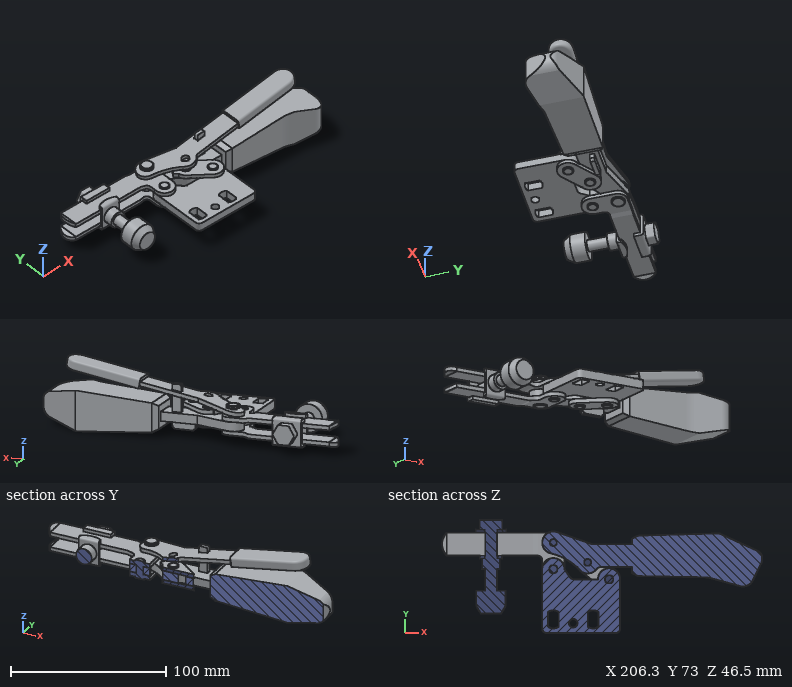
import cadquery as cq
import math


ARM_JOINT = (0, 0)
HANDLE_JOINT = (0, 17.1)
LINK_HANDLE_JOINT = (22.0, 4.3)
LINK_BASE_JOINT = (36.0, -6.6)
EYE_RADIUS = 7.2

PIN_RADIUS = 2.5
PIN_HEAD_RADIUS = 3.5
LARGE_HEAD_RADIUS = 4.5
HEAD_HEIGHT = 0.8
HEAD_CHAMFER = 0.6

BASE_THICKNESS = 6.2
BASE_TOP = BASE_THICKNESS / 2
SHEET = 2.9
SHEET_TOP = BASE_TOP + SHEET

BASE_BOTTOM_Y = -41.3
BASE_CORNER_RADIUS = 3.0
SLOT_SPACING = 25.5
SLOT_Y = -32.5
SLOT_LENGTH = 11.5
SLOT_WIDTH = 6.8
BASE_HOLE_Y = -34.9
BASE_HOLE_RADIUS = 2.7

ARM_TIP_X = -71.8
ARM_TOP_Y = 23.5
ARM_WIDTH = 14.9
ARM_BOTTOM_Y = ARM_TOP_Y - ARM_WIDTH
ARM_NECK_RADIUS = 3.0
JOG_START_X = -10.0
JOG_END_X = -13.0
JOG = 0.8
FLARE_LENGTH = 3.0
FLARE_RISE = 1.5
ARM_INNER_Z = BASE_TOP + JOG
ARM_OUTER_Z = ARM_INNER_Z + SHEET

SPINDLE_X = -40.2
SPINDLE_RADIUS = ARM_INNER_Z
WASHER_WEB_REAR = 2.0
WASHER_WEB_FRONT = 1.9
WASHER_HALF_HEIGHT = 9.3
WASHER_BEND_RADIUS = 1.7
REAR_WASHER_WIDTH = 19.8
REAR_FLANGE_Y = 19.2
FRONT_WASHER_WIDTH = 14.5
FRONT_FLANGE_SIDE_Y = 10.0
FRONT_FLANGE_MIDDLE_Y = 11.8
REAR_WASHER_Y = ARM_TOP_Y + WASHER_WEB_REAR
FRONT_WASHER_Y = ARM_BOTTOM_Y - WASHER_WEB_FRONT

HEX_ACROSS_FLATS = 13.0
HEX_EDGE_RADIUS = 1.2
HEX_HEIGHT = 6.2
COLLAR_RADIUS = 5.8
COLLAR_END_Y = 0.0
CAP_RADIUS = 9.5
CAP_START_Y = -13.8
CAP_CONE_Y = -23.7
CAP_END_Y = -28.7
CAP_END_RADIUS = 6.6

LEVER_TOP_Y = 16.0
LEVER_BOTTOM_Y = 1.2
LEVER_SHOULDER_X = 25.2
LEVER_END_X = 62.0
GRIP_START_X = 50.5
GRIP_CHAMFER_X = 54.5
GRIP_RIDGE_X = 106.0
GRIP_END_X = 134.5
CATCH_LEFT_X = 37.5
CATCH_RIGHT_X = 43.7
CATCH_FOOT_X = 27.7
CATCH_Y = 10.0
CATCH_THICKNESS = 3.0
CATCH_TOP_Z = 21.7
CATCH_BOTTOM_Z = -8.3
CATCH_TOP_RADIUS = 1.0
CATCH_FOOT_CHAMFER = 1.7

LATCH_TILT = 9.9
LATCH_Z = 7.5
LATCH_LOBE = (22.7, LINK_HANDLE_JOINT[1])
LATCH_HOLE_RADIUS = 2.7
LATCH_SLOT_TOP_Y = 13.6
LATCH_GRIP_START = 66.2
LATCH_GRIP_END = 119.5
LATCH_GRIP_WIDTH = 16.0
LATCH_GRIP_THICKNESS = 7.5
LATCH_GRIP_FILLET = 1.9
PIN_HEAD_Z = 11.3
PIN_HEAD_TOP_Z = 13.2


def polar(center, radius, degrees):
    """Point on a circle."""
    angle = math.radians(degrees)
    return (center[0] + radius * math.cos(angle), center[1] + radius * math.sin(angle))


def level(z):
    """Workplane parallel to XY at height z."""
    return cq.Workplane("XY").workplane(offset=z)


def disc(center, radius, bottom, top):
    """Upright cylinder between two heights."""
    return level(bottom).center(*center).circle(radius).extrude(top - bottom)


def pin_head(center, radius, bottom, top, outer_face):
    return disc(center, radius, bottom, top).faces(outer_face).chamfer(HEAD_CHAMFER)


def rivet(center):
    """Pin through both sheets with a low head on either side."""
    head_top = SHEET_TOP + HEAD_HEIGHT
    shank = disc(center, PIN_RADIUS, -SHEET_TOP, SHEET_TOP)
    upper = pin_head(center, PIN_HEAD_RADIUS, SHEET_TOP, head_top, ">Z")
    lower = pin_head(center, PIN_HEAD_RADIUS, -head_top, -SHEET_TOP, "<Z")
    return shank.union(upper).union(lower)


def pin_hole(center):
    """Cutter that matches a pin shank."""
    return disc(center, PIN_RADIUS, -CATCH_TOP_Z, CATCH_TOP_Z)


def lever_plate(lobe_center, end_x, bottom, thickness):
    """Plate with an eye at the handle joint, a rounded lobe and a straight shank."""
    eye_top = polar(HANDLE_JOINT, EYE_RADIUS, 71)
    eye_left = polar(HANDLE_JOINT, EYE_RADIUS, 180)
    eye_bottom = polar(HANDLE_JOINT, EYE_RADIUS, 256)
    belly = (7.6, 6.6)
    lobe_start = polar(lobe_center, EYE_RADIUS, 235)
    lobe_bottom = polar(lobe_center, EYE_RADIUS, 270)

    fillet = 3.5
    drop = lobe_center[1] - LEVER_BOTTOM_Y + fillet
    reach = math.sqrt((EYE_RADIUS + fillet) ** 2 - drop ** 2)
    lobe_end_angle = -math.degrees(math.atan2(drop, reach))
    lobe_end = polar(lobe_center, EYE_RADIUS, lobe_end_angle)
    fillet_center = (lobe_center[0] + reach, LEVER_BOTTOM_Y - fillet)
    fillet_middle = polar(fillet_center, fillet, (90 + lobe_end_angle + 180) / 2)
    fillet_end = (fillet_center[0], LEVER_BOTTOM_Y)

    return (
        level(bottom)
        .moveTo(end_x, LEVER_TOP_Y)
        .lineTo(LEVER_SHOULDER_X, LEVER_TOP_Y)
        .lineTo(*eye_top)
        .threePointArc(eye_left, eye_bottom)
        .threePointArc(belly, lobe_start)
        .threePointArc(lobe_bottom, lobe_end)
        .threePointArc(fillet_middle, fillet_end)
        .lineTo(end_x, LEVER_BOTTOM_Y)
        .close()
        .extrude(thickness)
    )


def make_base():
    left = ARM_JOINT[0] - EYE_RADIUS
    right = LINK_BASE_JOINT[0] + EYE_RADIUS
    recess_floor = LINK_BASE_JOINT[1]
    plate = (
        level(-BASE_TOP)
        .moveTo(left, BASE_BOTTOM_Y)
        .lineTo(left, ARM_JOINT[1])
        .threePointArc(polar(ARM_JOINT, EYE_RADIUS, 90), polar(ARM_JOINT, EYE_RADIUS, 0))
        .lineTo(10.0, -4.0)
        .threePointArc((11.3, -5.8), (13.6, recess_floor))
        .lineTo(LINK_BASE_JOINT[0] - EYE_RADIUS, recess_floor)
        .threePointArc(polar(LINK_BASE_JOINT, EYE_RADIUS, 90), (right, LINK_BASE_JOINT[1]))
        .lineTo(right, BASE_BOTTOM_Y)
        .close()
        .extrude(BASE_THICKNESS)
        .edges("|Z and <Y")
        .fillet(BASE_CORNER_RADIUS)
    )
    for slot_x in (0, SLOT_SPACING):
        slot = disc((slot_x, SLOT_Y), SLOT_LENGTH / 2, -BASE_TOP, BASE_TOP)
        sides = cq.Workplane("XY").center(slot_x, SLOT_Y).box(SLOT_WIDTH, SLOT_LENGTH, BASE_THICKNESS)
        plate = plate.cut(slot.intersect(sides))
    hole = disc((SLOT_SPACING / 2, BASE_HOLE_Y), BASE_HOLE_RADIUS, -BASE_TOP, BASE_TOP)
    return plate.cut(hole).cut(pin_hole(ARM_JOINT)).cut(pin_hole(LINK_BASE_JOINT))


def arm_sheet():
    """Upper arm sheet: side profile trimmed to the plan outline."""
    left = ARM_JOINT[0] - EYE_RADIUS
    right = ARM_JOINT[0] + EYE_RADIUS
    flare_x = ARM_TIP_X + FLARE_LENGTH
    inner = [
        (right, BASE_TOP),
        (JOG_START_X, BASE_TOP),
        (JOG_END_X, ARM_INNER_Z),
        (flare_x, ARM_INNER_Z),
        (ARM_TIP_X, ARM_INNER_Z + FLARE_RISE),
    ]
    outer = [(x, z + SHEET) for x, z in reversed(inner)]
    depth = ARM_TOP_Y - ARM_JOINT[1] + EYE_RADIUS
    strip = cq.Workplane("XZ", origin=(0, ARM_TOP_Y, 0)).polyline(inner + outer).close().extrude(depth)

    top_radius = ARM_TOP_Y - HANDLE_JOINT[1]
    plan = (
        level(0)
        .moveTo(flare_x, ARM_TOP_Y)
        .lineTo(HANDLE_JOINT[0] + EYE_RADIUS - top_radius, ARM_TOP_Y)
        .radiusArc((right, HANDLE_JOINT[1]), top_radius)
        .lineTo(right, ARM_JOINT[1])
        .threePointArc(polar(ARM_JOINT, EYE_RADIUS, 270), (left, ARM_JOINT[1]))
        .lineTo(left, ARM_BOTTOM_Y - ARM_NECK_RADIUS)
        .radiusArc((left - ARM_NECK_RADIUS, ARM_BOTTOM_Y), -ARM_NECK_RADIUS)
        .lineTo(flare_x, ARM_BOTTOM_Y)
        .threePointArc((ARM_TIP_X, ARM_TOP_Y - ARM_WIDTH / 2), (flare_x, ARM_TOP_Y))
        .close()
        .extrude(2 * ARM_OUTER_Z)
    )
    return strip.intersect(plan)


def handle_pin():
    """Long pin through arm, handle and latch."""
    head_bottom = -SHEET_TOP - HEAD_HEIGHT
    shank = disc(HANDLE_JOINT, PIN_RADIUS, -SHEET_TOP, PIN_HEAD_Z)
    upper = pin_head(HANDLE_JOINT, LARGE_HEAD_RADIUS, PIN_HEAD_Z, PIN_HEAD_TOP_Z, ">Z")
    lower = pin_head(HANDLE_JOINT, LARGE_HEAD_RADIUS, head_bottom, -SHEET_TOP, "<Z")
    return shank.union(upper).union(lower)


def make_arm():
    upper = arm_sheet()
    lower = upper.mirror("XY")
    return upper.union(lower).union(rivet(ARM_JOINT)).union(handle_pin())


def link_sheet():
    run = LINK_BASE_JOINT[0] - LINK_HANDLE_JOINT[0]
    rise = LINK_BASE_JOINT[1] - LINK_HANDLE_JOINT[1]
    middle = (LINK_HANDLE_JOINT[0] + run / 2, LINK_HANDLE_JOINT[1] + rise / 2)
    return (
        level(BASE_TOP)
        .center(*middle)
        .transformed(rotate=(0, 0, math.degrees(math.atan2(rise, run))))
        .slot2D(math.hypot(run, rise) + 2 * EYE_RADIUS, 2 * EYE_RADIUS)
        .extrude(SHEET)
    )


def link_nose():
    """Nose on the upper link sheet, under the latch."""
    outline = [polar(LINK_HANDLE_JOINT, EYE_RADIUS, 190), (12.2, 5.2), (15.7, 10.3), LINK_HANDLE_JOINT]
    return level(BASE_TOP).polyline(outline).close().extrude(SHEET)


def make_link():
    upper = link_sheet()
    link = upper.union(upper.mirror("XY")).union(link_nose())
    for joint in (LINK_HANDLE_JOINT, LINK_BASE_JOINT):
        link = link.union(rivet(joint))
    return link


def make_grip():
    """Plan outline trimmed by the side profile."""
    shoulder = (106.9, 23.1)
    heel = (126.0, -12.5)
    waist = (99.7, -5.4)
    tip = (136.8, 9.5)
    corner_radii = ((tip, 5.8), (heel, 7.2), (waist, 21.7))
    plan_points = [
        (GRIP_START_X, 19.6),
        (GRIP_CHAMFER_X, 21.7),
        shoulder,
        tip,
        heel,
        waist,
        (GRIP_CHAMFER_X, -4.5),
        (GRIP_START_X, -2.5),
    ]
    ridge_half_height = 13.6
    plan = level(-ridge_half_height).polyline(plan_points).close().extrude(2 * ridge_half_height)
    for corner, radius in corner_radii:
        plan = plan.edges(cq.selectors.NearestToPointSelector((*corner, 0))).fillet(radius)

    front_half_height = 7.8
    chamfer_half_height = 10.0
    tail_x = 129.0
    tail_half_height = 8.5
    profile = (
        cq.Workplane("XZ", origin=(0, shoulder[1], 0))
        .moveTo(GRIP_START_X, -front_half_height)
        .lineTo(GRIP_START_X, front_half_height)
        .lineTo(GRIP_CHAMFER_X, chamfer_half_height)
        .lineTo(GRIP_RIDGE_X, ridge_half_height)
        .lineTo(tail_x, tail_half_height)
        .threePointArc((GRIP_END_X, 0), (tail_x, -tail_half_height))
        .lineTo(GRIP_RIDGE_X, -ridge_half_height)
        .lineTo(GRIP_CHAMFER_X, -chamfer_half_height)
        .close()
        .extrude(shoulder[1] - heel[1])
    )
    return plan.intersect(profile)


def make_catch():
    """Upright post that holds the latch, with a foot below the lever."""
    outline = [
        (CATCH_LEFT_X, CATCH_TOP_Z),
        (CATCH_RIGHT_X, CATCH_TOP_Z),
        (CATCH_RIGHT_X, CATCH_BOTTOM_Z),
        (CATCH_FOOT_X, CATCH_BOTTOM_Z),
        (CATCH_FOOT_X, -BASE_TOP),
        (CATCH_LEFT_X, -BASE_TOP),
    ]
    catch = (
        cq.Workplane("XZ", origin=(0, CATCH_Y + CATCH_THICKNESS, 0))
        .polyline(outline)
        .close()
        .extrude(CATCH_THICKNESS)
    )
    catch = catch.edges("|Y and >Z").fillet(CATCH_TOP_RADIUS)
    return catch.edges("|Y and <Z").chamfer(CATCH_FOOT_CHAMFER)


def make_handle():
    lever = lever_plate(LINK_HANDLE_JOINT, LEVER_END_X, -BASE_TOP, BASE_THICKNESS)
    lever = lever.cut(pin_hole(HANDLE_JOINT)).cut(pin_hole(LINK_HANDLE_JOINT))
    return lever.union(make_grip()).union(make_catch())


def make_latch():
    plate = lever_plate(LATCH_LOBE, LATCH_GRIP_START, 0, SHEET)
    plate = plate.cut(disc(LATCH_LOBE, LATCH_HOLE_RADIUS, 0, SHEET))

    radius = LATCH_GRIP_WIDTH / 2
    middle_y = (LEVER_TOP_Y + LEVER_BOTTOM_Y) / 2
    straight_end = LATCH_GRIP_END - radius
    grip = (
        level((SHEET - LATCH_GRIP_THICKNESS) / 2)
        .moveTo(LATCH_GRIP_START, middle_y - radius)
        .lineTo(straight_end, middle_y - radius)
        .threePointArc((LATCH_GRIP_END, middle_y), (straight_end, middle_y + radius))
        .lineTo(LATCH_GRIP_START, middle_y + radius)
        .close()
        .extrude(LATCH_GRIP_THICKNESS)
    )
    grip = grip.faces("|Z").edges("not <X").fillet(LATCH_GRIP_FILLET)

    latch = plate.union(grip).rotate((0, 0, 0), (0, 1, 0), -LATCH_TILT).translate((0, 0, LATCH_Z))
    slot = cq.Workplane("XY").box(
        CATCH_RIGHT_X - CATCH_LEFT_X, LATCH_SLOT_TOP_Y - CATCH_Y, CATCH_TOP_Z, centered=False
    )
    slot = slot.translate((CATCH_LEFT_X, CATCH_Y, 0))
    return latch.cut(pin_hole(HANDLE_JOINT)).cut(slot)


def washer_channel(web_outer_y, flange_end_y, web, width):
    """Channel whose web lies on an edge of the arm and whose flanges lap over both sheets."""
    depth = abs(flange_end_y - web_outer_y)
    middle_y = (flange_end_y + web_outer_y) / 2
    bend_side = ">Y" if web_outer_y > flange_end_y else "<Y"
    outer = cq.Workplane("XY").box(width, depth, 2 * WASHER_HALF_HEIGHT)
    outer = outer.edges(f"|X and {bend_side}").fillet(WASHER_BEND_RADIUS)
    inner_shift = math.copysign(web, flange_end_y - web_outer_y)
    inner = cq.Workplane("XY").box(width, depth, 2 * ARM_OUTER_Z).translate((0, inner_shift, 0))
    bore = cq.Workplane("XZ").circle(SPINDLE_RADIUS).extrude(depth, both=True)
    return outer.cut(inner).cut(bore).translate((SPINDLE_X, middle_y, 0))


def make_rear_washer():
    return washer_channel(REAR_WASHER_Y, REAR_FLANGE_Y, WASHER_WEB_REAR, REAR_WASHER_WIDTH)


def make_front_washer():
    """Washer whose flanges end in a shallow arc."""
    channel = washer_channel(
        FRONT_WASHER_Y, FRONT_FLANGE_MIDDLE_Y, WASHER_WEB_FRONT, FRONT_WASHER_WIDTH
    )
    left = SPINDLE_X - FRONT_WASHER_WIDTH / 2
    right = SPINDLE_X + FRONT_WASHER_WIDTH / 2
    plan = (
        level(-WASHER_HALF_HEIGHT)
        .moveTo(left, FRONT_WASHER_Y)
        .lineTo(left, FRONT_FLANGE_SIDE_Y)
        .threePointArc((SPINDLE_X, FRONT_FLANGE_MIDDLE_Y), (right, FRONT_FLANGE_SIDE_Y))
        .lineTo(right, FRONT_WASHER_Y)
        .close()
        .extrude(2 * WASHER_HALF_HEIGHT)
    )
    return channel.intersect(plan)


def make_spindle():
    half_profile = [
        (0, REAR_WASHER_Y),
        (SPINDLE_RADIUS, REAR_WASHER_Y),
        (SPINDLE_RADIUS, FRONT_WASHER_Y),
        (COLLAR_RADIUS, FRONT_WASHER_Y),
        (COLLAR_RADIUS, COLLAR_END_Y),
        (SPINDLE_RADIUS, COLLAR_END_Y),
        (SPINDLE_RADIUS, CAP_START_Y),
        (CAP_RADIUS, CAP_START_Y),
        (CAP_RADIUS, CAP_CONE_Y),
        (CAP_END_RADIUS, CAP_END_Y),
        (0, CAP_END_Y),
    ]
    shank = cq.Workplane("XY").polyline(half_profile).close().revolve(360, (0, 0, 0), (0, 1, 0))
    across_corners = HEX_ACROSS_FLATS / math.cos(math.radians(30))
    head = (
        cq.Workplane("XZ", origin=(0, REAR_WASHER_Y + HEX_HEIGHT, 0))
        .polygon(6, across_corners)
        .extrude(HEX_HEIGHT)
        .edges("|Y")
        .fillet(HEX_EDGE_RADIUS)
    )
    return shank.union(head).translate((SPINDLE_X, 0, 0))


base = make_base()
arm = make_arm()
link = make_link()
handle = make_handle()
latch = make_latch()
rear_washer = make_rear_washer()
front_washer = make_front_washer()
spindle = make_spindle()

bodies = [base, arm, link, handle, latch, rear_washer, front_washer, spindle]
result = cq.Compound.makeCompound([body.solids().val() for body in bodies])